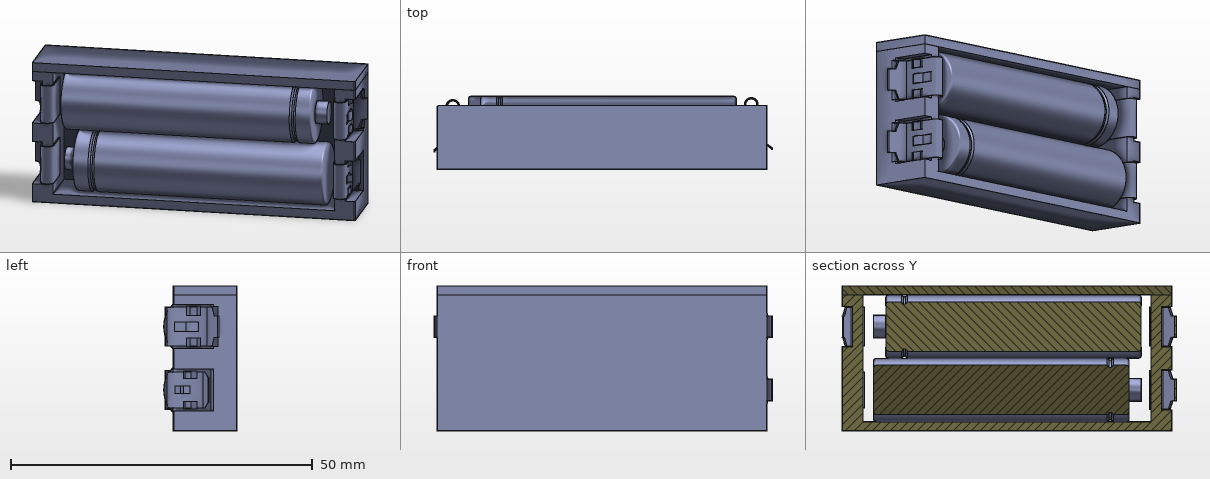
import cadquery as cq

LENGTH = 54.6
HEIGHT = 24.0
OVERALL_DEPTH = 12.1
TRAY_DEPTH = 10.6
EDGE_CHAMFER = 0.2

CELL_DIAMETER = 10.5
CELL_RADIUS = CELL_DIAMETER / 2
CELL_LENGTH = 44.4
CELL_START = 5.15
CELL_END_FILLET = 0.5
BUTTON_LENGTH = 2.0
BUTTON_RADIUS = 1.9
GROOVE_POSITION = 2.65
GROOVE_WIDTH = 1.0
GROOVE_FLANK = 0.35
GROOVE_DEPTH = 0.3

FLOOR = OVERALL_DEPTH - CELL_DIAMETER
WALL = (HEIGHT - 2 * CELL_DIAMETER) / 2
LID_BOTTOM = HEIGHT - WALL
CELL_AXIS_Y = OVERALL_DEPTH - CELL_RADIUS
LOWER_Z = HEIGHT / 2 - CELL_RADIUS
UPPER_Z = HEIGHT / 2 + CELL_RADIUS

SHEET = 0.2
FOLD_X = 2.6
FOLD_Y = 10.45
FOLD_RADIUS = 1.1
PLATE_BOW = 0.1
PLATE_X = FOLD_X - FOLD_RADIUS
SLOT_X = PLATE_X + SHEET
PARTITION_END = FOLD_X + FOLD_RADIUS - SHEET
INNER_LEG_BOTTOM = 5.6
BARB_PROUD = 0.15
NOTCH_RECESS = 0.15
RIGHT_RAISE = 0.35

TAB_WIDTH = 6.45
TAB_PLATE_TOP = 10.05
TAB_BEND_Y = 4.95
TAB_FOOT_Y = 3.2
TAB_LIP = 0.3
TAB_TIP_WIDTH = 3.6
TAB_TAPER = (4.1, 3.75)
LEFT_TAB_REACH = 0.55
RIGHT_TAB_REACH = 0.95
TAB_WINDOW = (6.35, 10.3)
TAB_WINDOW_WIDTH = 1.55
TAB_FINGER = (TAB_WINDOW[0], 8.4)
TAB_FINGER_RISE = 0.5
TAB_NOTCH = (6.05, 8.3)
TAB_NOTCH_Z = 1.85
TAB_BARB = (6.6, 7.75)

PLAIN_WIDTH = 5.95
PLAIN_PLATE_TOP = 10.4
PLAIN_BEND_Y = 5.6
PLAIN_FOOT_X = 0.35
PLAIN_FOOT_Y = 4.75
PLAIN_LIP = 0.15
PLAIN_TIP_WIDTH = 3.95
PLAIN_TAPER = (5.3, 4.7)
PLAIN_WINDOW = (7.75, 10.2)
PLAIN_WINDOW_WIDTH = 1.25
PLAIN_FINGER = (PLAIN_WINDOW[0], 9.4)
PLAIN_FINGER_RISE = 0.85
PLAIN_RIDGE_Y = 8.8
PLAIN_NOTCH = (6.55, 8.85)
PLAIN_NOTCH_Z = 1.9
PLAIN_BARB = (7.6, 8.6)

WIDE_SLOT = 7.3
NARROW_SLOT = 6.95
SLOT_BOTTOM = 3.9
SLOT_STEP = 0.4
SLOT_STEP_X = 0.85
RELIEF_WIDTH = 6.6
RELIEF_BOTTOM = 3.1


def box(x_range, y_range, z_range):
    """Box between the given limits."""
    (x0, x1), (y0, y1), (z0, z1) = x_range, y_range, z_range
    return cq.Workplane("XY").box(x1 - x0, y1 - y0, z1 - z0, centered=False).translate((x0, y0, z0))


def centred(width):
    """Z range of the given width around zero."""
    return (-width / 2, width / 2)


def prism(sketch, width, centre=0.0):
    """Closed XY sketch extruded along Z, centred on the given height."""
    return sketch.extrude(width / 2, both=True).translate((0, 0, centre))


def slot_cutter(width, has_relief):
    """Slot at the -X end, open to -X and +Y, centred on Z = 0."""
    cutter = box((0, SLOT_X), (SLOT_BOTTOM + SLOT_STEP, TRAY_DEPTH), centred(width))
    cutter = cutter.union(box((0, SLOT_STEP_X), (SLOT_BOTTOM, TRAY_DEPTH), centred(width)))
    if has_relief:
        cutter = cutter.union(box((0, SLOT_X), (RELIEF_BOTTOM, TRAY_DEPTH), centred(RELIEF_WIDTH)))
    return cutter


def folded_sheet(width, plate_top, bend_y, foot_x, foot_y, lip):
    """Sheet with a bowed outer plate, a half-round fold, a short inner leg and a sloping foot."""
    inner_radius = FOLD_RADIUS - SHEET
    plate_middle = (bend_y + plate_top) / 2
    profile = (
        cq.Workplane("XY")
        .moveTo(PLATE_X, bend_y)
        .threePointArc((PLATE_X + PLATE_BOW, plate_middle), (PLATE_X, plate_top))
        .lineTo(PLATE_X, FOLD_Y)
        .threePointArc((FOLD_X, FOLD_Y + FOLD_RADIUS), (FOLD_X + FOLD_RADIUS, FOLD_Y))
        .lineTo(FOLD_X + FOLD_RADIUS, INNER_LEG_BOTTOM)
        .lineTo(PARTITION_END, INNER_LEG_BOTTOM)
        .lineTo(PARTITION_END, FOLD_Y)
        .threePointArc((FOLD_X, FOLD_Y + inner_radius), (SLOT_X, FOLD_Y))
        .lineTo(SLOT_X, plate_top)
        .threePointArc((SLOT_X + PLATE_BOW, plate_middle), (SLOT_X, bend_y))
        .lineTo(foot_x + SHEET, foot_y - SHEET / 2)
        .lineTo(foot_x + SHEET, foot_y - lip)
        .lineTo(foot_x, foot_y - lip)
        .lineTo(foot_x, foot_y)
        .close()
    )
    return prism(profile, width)


def foot_outline(width, tip_width, taper):
    """Outline of the sheet along X, narrowing towards the foot."""
    taper_top, taper_bottom = taper
    return (
        cq.Workplane("YZ")
        .polyline([
            (OVERALL_DEPTH, -width / 2),
            (taper_top, -width / 2),
            (taper_bottom, -tip_width / 2),
            (0, -tip_width / 2),
            (0, tip_width / 2),
            (taper_bottom, tip_width / 2),
            (taper_top, width / 2),
            (OVERALL_DEPTH, width / 2),
        ])
        .close()
        .extrude(CELL_START, both=True)
    )


def rounded_finger():
    """Gently arched finger in the window of a tab contact."""
    bottom, top = TAB_FINGER
    sketch = (
        cq.Workplane("XY")
        .moveTo(SLOT_X, bottom)
        .threePointArc((SLOT_X - TAB_FINGER_RISE, (bottom + top) / 2), (SLOT_X, top))
        .close()
    )
    return prism(sketch, TAB_WINDOW_WIDTH)


def pointed_finger():
    """Finger bent to a ridge in the window of the plain contact."""
    bottom, top = PLAIN_FINGER
    ridge = (SLOT_X - PLAIN_FINGER_RISE, PLAIN_RIDGE_Y)
    sketch = cq.Workplane("XY").polyline([(SLOT_X, bottom), ridge, (SLOT_X, top)]).close()
    return prism(sketch, PLAIN_WINDOW_WIDTH)


def barb(y_range, z_range):
    """Wedge that leans out of the sheet towards the floor."""
    bottom, top = y_range
    sketch = (
        cq.Workplane("XY")
        .moveTo(SLOT_X + NOTCH_RECESS, top)
        .lineTo(PLATE_X - BARB_PROUD, bottom)
        .lineTo(SLOT_X + NOTCH_RECESS, bottom)
        .close()
    )
    return prism(sketch, z_range[1] - z_range[0], sum(z_range) / 2)


def add_contact(holder, sheet, finger, z, width, window, window_width, notch, notch_z, barb_y):
    """Fixes a pierced contact to the -X partition, centred on the given height.

    `window` and `notch` are Y ranges; `notch_z` is the inner side of the two edge notches.
    """
    half_width = width / 2
    edge = half_width + NOTCH_RECESS
    sheet_depth = (PLATE_X, SLOT_X + PLATE_BOW)

    sheet = sheet.cut(box(sheet_depth, window, centred(window_width)))
    fixed_parts = [finger]
    for side in (-1, 1):
        z_range = sorted((side * notch_z, side * edge))
        sheet = sheet.cut(box(sheet_depth, notch, z_range))
        pocket = box((SLOT_X, SLOT_X + NOTCH_RECESS), notch, z_range)
        holder = holder.cut(pocket.translate((0, 0, z)))
        fixed_parts.append(barb(barb_y, sorted((side * notch_z, side * half_width))))

    for part in [sheet, *fixed_parts]:
        holder = holder.union(part.translate((0, 0, z)))
    return holder


def add_tab_contact(holder, z, reach):
    """Contact with a solder tab that sticks out of the end face."""
    holder = holder.cut(slot_cutter(WIDE_SLOT, has_relief=True).translate((0, 0, z)))
    sheet = folded_sheet(TAB_WIDTH, TAB_PLATE_TOP, TAB_BEND_Y, -reach, TAB_FOOT_Y, TAB_LIP)
    sheet = sheet.intersect(foot_outline(TAB_WIDTH, TAB_TIP_WIDTH, TAB_TAPER))
    return add_contact(
        holder, sheet, rounded_finger(), z, TAB_WIDTH, TAB_WINDOW, TAB_WINDOW_WIDTH,
        TAB_NOTCH, TAB_NOTCH_Z, TAB_BARB,
    )


def add_plain_contact(holder, z):
    """Contact whose foot stays inside the end face."""
    holder = holder.cut(slot_cutter(NARROW_SLOT, has_relief=False).translate((0, 0, z)))
    sheet = folded_sheet(
        PLAIN_WIDTH, PLAIN_PLATE_TOP, PLAIN_BEND_Y, PLAIN_FOOT_X, PLAIN_FOOT_Y, PLAIN_LIP
    )
    sheet = sheet.intersect(foot_outline(PLAIN_WIDTH, PLAIN_TIP_WIDTH, PLAIN_TAPER))
    return add_contact(
        holder, sheet, pointed_finger(), z, PLAIN_WIDTH, PLAIN_WINDOW, PLAIN_WINDOW_WIDTH,
        PLAIN_NOTCH, PLAIN_NOTCH_Z, PLAIN_BARB,
    )


def flipped(shape):
    """Swaps the -X and +X ends of the holder."""
    return shape.mirror("YZ").translate((LENGTH, 0, 0))


def make_holder():
    """Tray with its spring contacts fixed in the end walls."""
    cavity = box((PARTITION_END, LENGTH - PARTITION_END), (FLOOR, TRAY_DEPTH), (WALL, LID_BOTTOM))
    holder = box((0, LENGTH), (0, TRAY_DEPTH), (0, LID_BOTTOM))
    holder = holder.edges("|Z and <X and >Y").chamfer(EDGE_CHAMFER).cut(cavity)
    holder = add_plain_contact(holder, LOWER_Z)
    holder = add_tab_contact(holder, UPPER_Z, LEFT_TAB_REACH)

    holder = flipped(holder).translate((0, -RIGHT_RAISE, 0))
    for z in (LOWER_Z, UPPER_Z):
        holder = add_tab_contact(holder, z, RIGHT_TAB_REACH)
    return flipped(holder.translate((0, RIGHT_RAISE, 0)))


def make_lid():
    """Plate that closes the +Z side of the tray."""
    lid = box((0, LENGTH), (0, TRAY_DEPTH), (LID_BOTTOM, HEIGHT))
    return lid.edges("|Z and <X and >Y").chamfer(EDGE_CHAMFER)


def make_cell():
    """Cell along +X with the tip of its positive button at X = 0."""
    groove_start = BUTTON_LENGTH + GROOVE_POSITION
    groove_end = groove_start + GROOVE_WIDTH
    groove_radius = CELL_RADIUS - GROOVE_DEPTH
    can = (
        cq.Workplane("XY")
        .moveTo(BUTTON_LENGTH, 0)
        .lineTo(BUTTON_LENGTH, CELL_RADIUS)
        .lineTo(groove_start, CELL_RADIUS)
        .lineTo(groove_start + GROOVE_FLANK, groove_radius)
        .lineTo(groove_end - GROOVE_FLANK, groove_radius)
        .lineTo(groove_end, CELL_RADIUS)
        .lineTo(CELL_LENGTH, CELL_RADIUS)
        .lineTo(CELL_LENGTH, 0)
        .close()
        .revolve(360, (0, 0, 0), (1, 0, 0))
    )
    can = can.faces("<X or >X").edges().fillet(CELL_END_FILLET)
    button = cq.Workplane("YZ").circle(BUTTON_RADIUS).extrude(BUTTON_LENGTH)
    return can.union(button)


def make_cells():
    """Two cells side by side, pointing opposite ways."""
    cells = []
    for z, button_at_left in ((LOWER_Z, False), (UPPER_Z, True)):
        cell = make_cell()
        if not button_at_left:
            cell = cell.mirror("YZ").translate((CELL_LENGTH, 0, 0))
        cells.append(cell.translate((CELL_START, CELL_AXIS_Y, z)).val())
    return cells


holder = make_holder()
lid = make_lid()
cells = make_cells()
result = cq.Compound.makeCompound([holder.solids().val(), lid.val(), *cells])